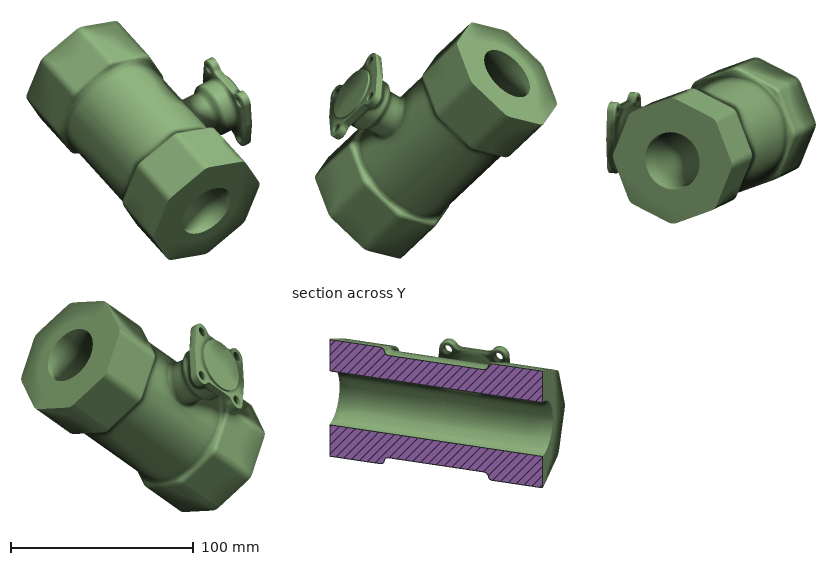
import cadquery as cq
import math

LENGTH = 124.6
BODY_DIAMETER = 61.4
BORE_DIAMETER = 32.0
COLLAR_LENGTH = 32.0
COLLAR_ACROSS_CORNERS = 70.0
COLLAR_CORNER_RADIUS = 6.0
COLLAR_SIDES = 8
SHOULDER_RADIUS = 2.5

BRANCH_X = 2.2
BRANCH_TIP_Y = 57.7
NECK_DIAMETER = 24.0
SPIGOT_DIAMETER = 30.0
SPIGOT_START_Y = 42.6
BRANCH_FILLET = 2.0

FLANGE_OUTER_Y = 56.3
FLANGE_THICKNESS = 4.6
FLANGE_EDGE_FILLET = 1.0
FLANGE_HALF_WIDTH = 21.0
FLANGE_FLAT_Z = 16.0
EAR_OFFSET = 14.8
EAR_RADIUS = 5.0
EAR_BLEND_RADIUS = 4.0
EAR_HOLE_DIAMETER = 5.5

POSITION_TOLERANCE = 0.01


def edges_on_cylinder(solid, radius, axis, center_x=0.0):
    """Curved edges lying all along on a cylinder of the given radius about the X or Y axis."""

    def distance(point):
        if axis == "X":
            return math.hypot(point.y, point.z)
        return math.hypot(point.x - center_x, point.z)

    samples = (0, 0.3, 0.5, 0.8, 1)
    return [
        edge
        for edge in solid.edges().vals()
        if edge.geomType() != "LINE"
        and all(abs(distance(edge.positionAt(t)) - radius) < POSITION_TOLERANCE for t in samples)
    ]


def octagonal_collar():
    """Collar from X = 0 to +X, with corners on the Y and Z axes."""
    half_sector = math.pi / COLLAR_SIDES
    corner_center = COLLAR_ACROSS_CORNERS / 2 - COLLAR_CORNER_RADIUS
    sharp_corner = corner_center + COLLAR_CORNER_RADIUS / math.cos(half_sector)
    return (
        cq.Workplane("YZ")
        .polygon(COLLAR_SIDES, 2 * sharp_corner)
        .extrude(COLLAR_LENGTH)
        .edges("|X")
        .fillet(COLLAR_CORNER_RADIUS)
        .faces(">X")
        .edges()
        .fillet(SHOULDER_RADIUS)
    )


def main_body():
    """One half of the body with a blended collar, then its mirror image."""
    half_length = LENGTH / 2
    collar_inner_x = COLLAR_LENGTH - half_length
    body_radius = BODY_DIAMETER / 2
    collar = octagonal_collar().translate((-half_length, 0, 0))
    half = cq.Workplane("YZ").circle(body_radius).extrude(-half_length).union(collar)
    root = [
        edge
        for edge in edges_on_cylinder(half, body_radius, "X")
        if edge.Center().x < collar_inner_x + POSITION_TOLERANCE
    ]
    half = half.newObject(root).fillet(SHOULDER_RADIUS)
    return half.union(half.mirror("YZ"))


def branch():
    """Revolved neck and spigot, joined by a 45 degree cone with rounded edges."""
    neck_radius = NECK_DIAMETER / 2
    spigot_radius = SPIGOT_DIAMETER / 2
    cone_start_y = SPIGOT_START_Y - (spigot_radius - neck_radius)
    profile = [
        (0, 0),
        (neck_radius, 0),
        (neck_radius, cone_start_y),
        (spigot_radius, SPIGOT_START_Y),
        (spigot_radius, BRANCH_TIP_Y),
        (0, BRANCH_TIP_Y),
    ]
    solid = cq.Workplane("XY").polyline(profile).close().revolve(360, (0, 0, 0), (0, 1, 0))
    cone_edges = [
        edge
        for edge in solid.edges("%CIRCLE").vals()
        if cone_start_y - POSITION_TOLERANCE < edge.Center().y < SPIGOT_START_Y + POSITION_TOLERANCE
    ]
    return solid.newObject(cone_edges).fillet(BRANCH_FILLET).translate((BRANCH_X, 0, 0))


def flange_quarter():
    """Quarter of the plate outline in +X, +Z, extruded along +Y from Y = 0."""
    ridge_dx = FLANGE_HALF_WIDTH - EAR_OFFSET
    ridge_distance = math.hypot(ridge_dx, EAR_OFFSET)
    side_angle = math.acos(EAR_RADIUS / ridge_distance) - math.atan2(EAR_OFFSET, ridge_dx)

    blend_z = FLANGE_FLAT_Z + EAR_BLEND_RADIUS
    blend_angle = math.pi - math.asin((blend_z - EAR_OFFSET) / (EAR_RADIUS + EAR_BLEND_RADIUS))
    blend_x = EAR_OFFSET + (EAR_RADIUS + EAR_BLEND_RADIUS) * math.cos(blend_angle)

    def on_ear(angle):
        return (
            EAR_OFFSET + EAR_RADIUS * math.cos(angle),
            EAR_OFFSET + EAR_RADIUS * math.sin(angle),
        )

    def on_blend(angle):
        return (
            blend_x + EAR_BLEND_RADIUS * math.cos(angle),
            blend_z + EAR_BLEND_RADIUS * math.sin(angle),
        )

    blend_start = blend_angle - math.pi
    blend_end = -math.pi / 2
    return (
        cq.Workplane("XZ")
        .lineTo(FLANGE_HALF_WIDTH, 0)
        .lineTo(*on_ear(side_angle))
        .threePointArc(on_ear((side_angle + blend_angle) / 2), on_ear(blend_angle))
        .threePointArc(on_blend((blend_start + blend_end) / 2), on_blend(blend_end))
        .lineTo(0, FLANGE_FLAT_Z)
        .close()
        .extrude(-FLANGE_THICKNESS)
    )


def flange():
    """Plate with its body-side edge rounded and a hole in every ear."""
    half = flange_quarter()
    half = half.union(half.mirror("YZ"))
    plate = half.union(half.mirror("XY")).clean()
    plate = plate.faces("<Y").edges().fillet(FLANGE_EDGE_FILLET)
    holes = (
        cq.Workplane("XZ")
        .rect(2 * EAR_OFFSET, 2 * EAR_OFFSET, forConstruction=True)
        .vertices()
        .circle(EAR_HOLE_DIAMETER / 2)
        .extrude(-FLANGE_THICKNESS)
    )
    return plate.cut(holes).translate((BRANCH_X, FLANGE_OUTER_Y - FLANGE_THICKNESS, 0))


def flanged_branch():
    """Branch and flange, with the inner corner between them rounded."""
    inner_y = FLANGE_OUTER_Y - FLANGE_THICKNESS
    joined = branch().union(flange())
    corner = [
        edge
        for edge in edges_on_cylinder(joined, SPIGOT_DIAMETER / 2, "Y", BRANCH_X)
        if inner_y - POSITION_TOLERANCE < edge.Center().y < FLANGE_OUTER_Y - POSITION_TOLERANCE
    ]
    return joined.newObject(corner).fillet(BRANCH_FILLET)


def tee():
    """Body and branch, blended where the neck leaves the body, and bored through."""
    body_radius = BODY_DIAMETER / 2
    solid = main_body().union(flanged_branch())
    root = [
        edge
        for edge in edges_on_cylinder(solid, body_radius, "X")
        if abs(edge.Center().x - BRANCH_X) < NECK_DIAMETER / 2
        and edge.Center().y > 0
    ]
    bore = cq.Workplane("YZ").circle(BORE_DIAMETER / 2).extrude(LENGTH / 2, both=True)
    return solid.newObject(root).fillet(BRANCH_FILLET).cut(bore)


result = tee()